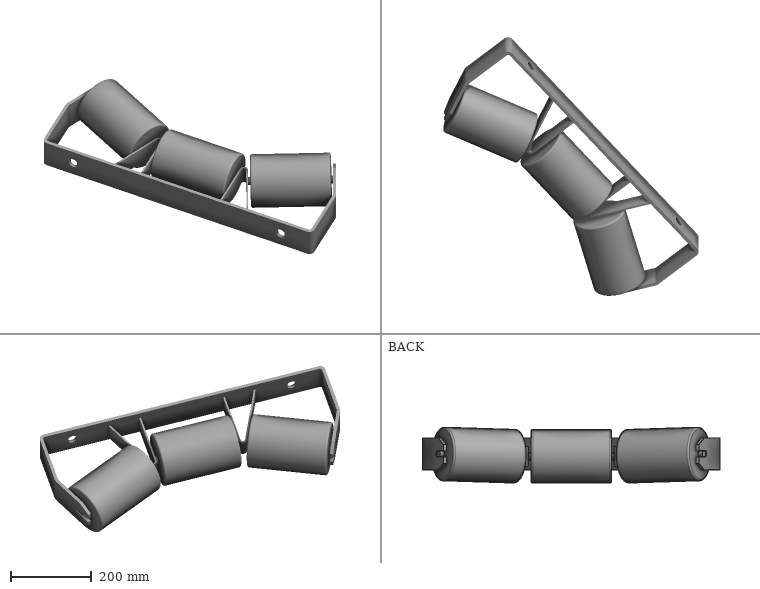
import cadquery as cq
import math

frame_length = 740.0
frame_height = 80.0
plate_thickness = 8.0
corner_radius = 13.0
arm_bend_radius = 18.0
arm_bend_y = 142.0
arm_tip_y = 254.5
arm_chamfer_along = 30.0
arm_chamfer_height = 16.0

mount_slot_spacing = 568.0
mount_slot_width = 21.5
mount_slot_height = 27.5

roller_radius = 66.5
roller_length = 200.0
rim_fillet = 4.5
roller_turn = 25.0
middle_roller_y = 125.0
inner_axle_z = -6.3
arm_axle_z = 0.0

axle_length = 222.0
axle_diameter = 20.0
axle_flat_height = 14.0
axle_shoulder_gap = 4.0
axle_to_arm_tip = 32.0
arm_slot_width = 15.5
arm_slot_depth = 44.0
arm_to_roller_gap = 4.5

bracket_thickness = 4.5
bracket_height = 50.0
bracket_bend_radius = 10.0
bracket_top_y = 152.5

turn = math.radians(roller_turn)
arm_along = cq.Vector(math.sin(turn), math.cos(turn), 0)
arm_outward = cq.Vector(-math.cos(turn), math.sin(turn), 0)

arm_bend = cq.Vector(-frame_length / 2, arm_bend_y, 0)
arm_tip = arm_bend + arm_along * ((arm_tip_y - arm_bend_y) / arm_along.y)

arm_to_roller_centre = plate_thickness + arm_to_roller_gap + roller_length / 2
axle_rise = math.asin((arm_axle_z - inner_axle_z) / axle_length)
left_axis = arm_outward * math.cos(axle_rise) + cq.Vector(0, 0, math.sin(axle_rise))
left_centre = (
    arm_tip
    - arm_along * axle_to_arm_tip
    - arm_outward * arm_to_roller_centre
    + cq.Vector(0, 0, (arm_axle_z + inner_axle_z) / 2)
)
left_plane = cq.Plane(origin=left_centre, xDir=arm_along.cross(left_axis), normal=left_axis)
middle_plane = cq.Plane(origin=(0, middle_roller_y, inner_axle_z), xDir=(0, 0, 1), normal=(-1, 0, 0))


def left_offset_corner(before, corner, after, distance):
    """Corner of the path that runs parallel to before-corner-after, at a distance on its left."""
    heading_in = math.atan2(corner.y - before.y, corner.x - before.x)
    heading_out = math.atan2(after.y - corner.y, after.x - corner.x)
    half_bend = math.remainder(heading_out - heading_in, 2 * math.pi) / 2
    normal = heading_in + half_bend + math.pi / 2
    return corner + cq.Vector(math.cos(normal), math.sin(normal), 0) * (distance / math.cos(half_bend))


def bent_strip(outer_path, outer_radii, thickness, height):
    """Upright strip with its thickness on the left of outer_path and a rounded bend at each corner."""
    ahead = outer_path[0] * 2 - outer_path[1]
    beyond = outer_path[-1] * 2 - outer_path[-2]
    inner_path = [
        left_offset_corner(before, corner, after, thickness)
        for before, corner, after in zip([ahead] + outer_path, outer_path, outer_path[1:] + [beyond])
    ]
    outline = [point.toTuple()[:2] for point in outer_path + inner_path[::-1]]
    strip = cq.Workplane("XY").polyline(outline).close().extrude(height / 2, both=True)
    for outer, inner, radius in zip(outer_path[1:-1], inner_path[1:-1], outer_radii):
        strip = strip.edges(cq.selectors.NearestToPointSelector(outer.toTuple())).fillet(radius)
        strip = strip.edges(cq.selectors.NearestToPointSelector(inner.toTuple())).fillet(radius - thickness)
    return strip


def mirrored(body):
    """Copy of a body on the other side of the middle plane X = 0."""
    return body.mirror("YZ")


def centred_cylinder(plane, radius, length):
    return cq.Workplane(plane).workplane(offset=-length / 2).circle(radius).extrude(length)


def flatted_bar(plane, width, length):
    """Round axle bar along the plane's normal, with flats the given width apart above and below."""
    between_flats = cq.Workplane(plane).box(width, axle_diameter, length)
    return centred_cylinder(plane, axle_diameter / 2, length).intersect(between_flats)


def make_roller(plane):
    """Drum with rounded rims and its axle, in one solid."""
    drum = centred_cylinder(plane, roller_radius, roller_length).edges("%CIRCLE").fillet(rim_fillet)
    shoulders = centred_cylinder(plane, axle_diameter / 2, roller_length + 2 * axle_shoulder_gap)
    axle = flatted_bar(plane, axle_flat_height, axle_length)
    return drum.union(shoulders).union(axle).solids()


def cut_arm_end(frame):
    """Chamfer the left arm's tip and cut the open slot that holds the left axle."""
    tip_plane = cq.Plane(origin=arm_tip, xDir=arm_along, normal=arm_outward)
    half_height = frame_height / 2
    for side in (1, -1):
        corner = [
            (-arm_chamfer_along, side * half_height),
            (0, side * half_height),
            (0, side * (half_height - arm_chamfer_height)),
        ]
        chamfer = cq.Workplane(tip_plane).polyline(corner).close().extrude(2 * plate_thickness, both=True)
        frame = frame.cut(chamfer)
    slot = (
        cq.Workplane(left_plane)
        .center(0, axle_to_arm_tip)
        .slot2D(2 * arm_slot_depth, arm_slot_width, 90)
        .extrude(axle_length)
    )
    return frame.cut(slot)


def make_frame():
    left_path = [arm_tip, arm_bend, cq.Vector(-frame_length / 2, 0, 0)]
    right_path = [cq.Vector(-point.x, point.y, 0) for point in reversed(left_path)]
    radii = [arm_bend_radius, corner_radius, corner_radius, arm_bend_radius]
    frame = bent_strip(left_path + right_path, radii, plate_thickness, frame_height)
    frame = mirrored(cut_arm_end(mirrored(cut_arm_end(frame))))
    mount_slots = (
        cq.Workplane("XZ")
        .pushPoints([(-mount_slot_spacing / 2, 0), (mount_slot_spacing / 2, 0)])
        .slot2D(mount_slot_height, mount_slot_width, 90)
        .extrude(-plate_thickness)
    )
    return frame.cut(mount_slots).solids()


def make_left_bracket():
    bend_to_apex = bracket_bend_radius / math.tan(turn / 2)
    upright_face_x = bracket_thickness - axle_length / 2
    apex_y = bracket_top_y - bracket_bend_radius + bend_to_apex
    apex = cq.Vector(upright_face_x, apex_y, 0)
    upright_foot = cq.Vector(upright_face_x, 0, 0)
    sloping_foot = apex - arm_along * (apex_y / arm_along.y)
    path = [upright_foot, apex, sloping_foot]
    bracket = bent_strip(path, [bracket_bend_radius], bracket_thickness, bracket_height)
    above_plate = (
        cq.Workplane("XY")
        .rect(frame_length, frame_length)
        .extrude(frame_height, both=True)
        .translate((0, plate_thickness + frame_length / 2, 0))
    )
    bracket = bracket.translate((0, 0, inner_axle_z)).intersect(above_plate)
    for plane in (left_plane, middle_plane):
        bracket = bracket.cut(flatted_bar(plane, axle_flat_height, axle_length + bracket_thickness))
    return bracket.solids()


frame = make_frame()

left_bracket = make_left_bracket()
brackets = [left_bracket, mirrored(left_bracket)]

left_roller = make_roller(left_plane)
rollers = [left_roller, make_roller(middle_plane), mirrored(left_roller)]

result = cq.Compound.makeCompound(
    [frame.val(), *[bracket.val() for bracket in brackets], *[roller.val() for roller in rollers]]
)